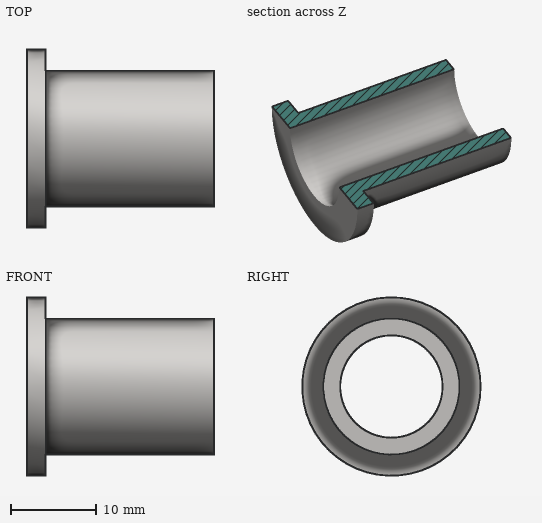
import cadquery as cq

total_length = 22.0
flange_diameter = 21.0
flange_thickness = 2.2
body_diameter = 16.0
bore_diameter = 12.0


def cylinder_along_x(diameter, length):
    """Solid cylinder on the X axis, starting at X = 0."""
    return cq.Workplane("YZ").circle(diameter / 2).extrude(length)


flange = cylinder_along_x(flange_diameter, flange_thickness)
body = cylinder_along_x(body_diameter, total_length)
bore = cylinder_along_x(bore_diameter, total_length)

result = flange.union(body).cut(bore)